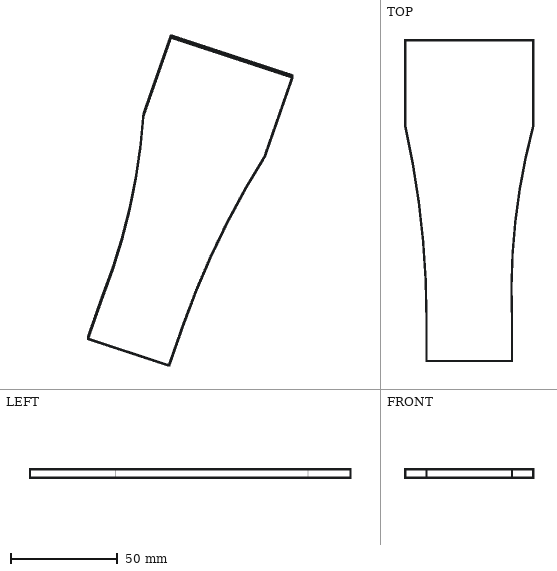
import cadquery as cq

length = 150.0
head_width = 60.0
neck_width = 40.0
thickness = 4.0

head_length = 40.0
neck_length = 20.0

right_flank_radius = 300.0

half_head = head_width / 2
half_neck = neck_width / 2
flank_end = length - head_length

flank_length = flank_end - neck_length
flank_step = half_head - half_neck
left_flank_radius = (flank_length**2 + flank_step**2) / (2 * flank_step)

result = (
    cq.Workplane("XY")
    .moveTo(-half_neck, 0)
    .lineTo(half_neck, 0)
    .lineTo(half_neck, neck_length)
    .radiusArc((half_head, flank_end), right_flank_radius)
    .lineTo(half_head, length)
    .lineTo(-half_head, length)
    .lineTo(-half_head, flank_end)
    .radiusArc((-half_neck, neck_length), left_flank_radius)
    .close()
    .extrude(thickness)
)